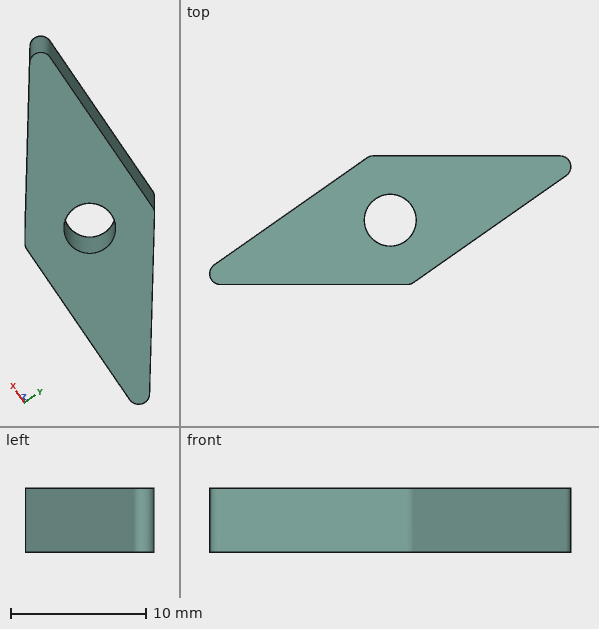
import cadquery as cq
import math

length = 26.73
width = 9.55
thickness = 4.75
acute_angle = 35.0
hole_diameter = 3.82

half_width = width / 2
half_angle_tan = math.tan(math.radians(acute_angle / 2))
acute_x = half_width / half_angle_tan
obtuse_x = -half_width * half_angle_tan

corner_radius = (acute_x - length / 2) / (1 / half_angle_tan - 1)

sharp_corners = [
    (acute_x, half_width),
    (obtuse_x, half_width),
    (-acute_x, -half_width),
    (-obtuse_x, -half_width),
]

body = cq.Workplane("XY").polyline(sharp_corners).close().extrude(thickness)
rounded_body = body.edges("|Z").fillet(corner_radius)

result = rounded_body.faces(">Z").workplane(origin=(0, 0, thickness)).hole(hole_diameter)